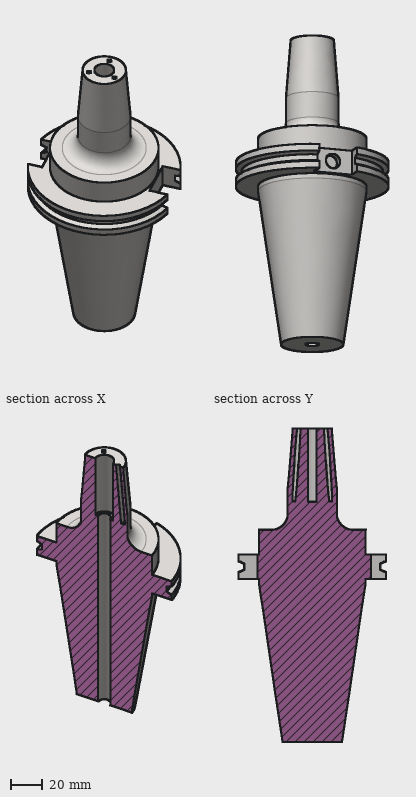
import cadquery as cq
import math

gauge_diameter = 69.85
taper_length = 101.6
taper_ratio = 7 / 24
small_end_diameter = gauge_diameter - taper_length * taper_ratio

flange_diameter = 98.43
flange_bottom = 3.175
flange_thickness = 15.875
flange_top = flange_bottom + flange_thickness
flange_middle = (flange_bottom + flange_top) / 2
groove_depth = 3.6
groove_mouth_width = 7.0
groove_floor_width = 3.8

collar_diameter = gauge_diameter
collar_top = 35.0
neck_diameter = 34.0
neck_fillet = 10.0
nose_top = 100.0
nose_diameter = 28.0
nose_half_angle = 4.5
nose_taper_length = (neck_diameter - nose_diameter) / 2 / math.tan(math.radians(nose_half_angle))
nose_taper_bottom = nose_top - nose_taper_length

slot_width = 25.9
slot_floor_left = 37.8
slot_floor_right = 35.3
dimple_diameter = 9.6
dimple_depth = 5.5

tool_bore_diameter = 12.7
tool_bore_depth = 47.0
through_bore_diameter = 8.5
coolant_hole_count = 3
coolant_hole_diameter = 2.5
coolant_circle_radius = 10.0
coolant_hole_depth = tool_bore_depth
first_coolant_angle = 90


def make_body():
    """Revolve the half outline of shank, grooved flange, collar and nose."""
    flange_radius = flange_diameter / 2
    groove_floor_radius = flange_radius - groove_depth
    neck_radius = neck_diameter / 2
    fillet_foot_radius = neck_radius + neck_fillet
    fillet_top = collar_top + neck_fillet
    fillet_inset = neck_fillet * (1 - math.sqrt(0.5))
    half_mouth = groove_mouth_width / 2
    half_floor = groove_floor_width / 2
    outline = (
        cq.Workplane("XZ")
        .moveTo(0, -taper_length)
        .lineTo(small_end_diameter / 2, -taper_length)
        .lineTo(gauge_diameter / 2, 0)
        .lineTo(gauge_diameter / 2, flange_bottom)
        .lineTo(flange_radius, flange_bottom)
        .lineTo(flange_radius, flange_middle - half_mouth)
        .lineTo(groove_floor_radius, flange_middle - half_floor)
        .lineTo(groove_floor_radius, flange_middle + half_floor)
        .lineTo(flange_radius, flange_middle + half_mouth)
        .lineTo(flange_radius, flange_top)
        .lineTo(collar_diameter / 2, flange_top)
        .lineTo(collar_diameter / 2, collar_top)
        .lineTo(fillet_foot_radius, collar_top)
        .threePointArc(
            (neck_radius + fillet_inset, collar_top + fillet_inset),
            (neck_radius, fillet_top),
        )
        .lineTo(neck_radius, nose_taper_bottom)
        .lineTo(nose_diameter / 2, nose_top)
        .lineTo(0, nose_top)
        .close()
    )
    return outline.revolve(360, (0, 0, 0), (0, 1, 0))


def make_drive_slot(floor_distance, side):
    """Slot through the flange height; side is -1 for -X and +1 for +X."""
    outward_length = flange_diameter / 2
    return (
        cq.Workplane("XY", origin=(0, 0, flange_bottom))
        .center(side * (floor_distance + outward_length / 2), 0)
        .rect(outward_length, slot_width)
        .extrude(flange_thickness)
    )


def make_dimple():
    """Round blind hole in the floor of the -X drive slot."""
    return (
        cq.Workplane("YZ", origin=(-slot_floor_left, 0, flange_middle))
        .circle(dimple_diameter / 2)
        .extrude(dimple_depth)
    )


def make_axial_bores():
    """Tool bore from the nose face and a smaller bore through the whole part."""
    through_bore = (
        cq.Workplane("XY", origin=(0, 0, -taper_length))
        .circle(through_bore_diameter / 2)
        .extrude(taper_length + nose_top)
    )
    tool_bore = (
        cq.Workplane("XY", origin=(0, 0, nose_top))
        .circle(tool_bore_diameter / 2)
        .extrude(-tool_bore_depth)
    )
    return through_bore.union(tool_bore)


def make_coolant_holes():
    """Ring of small blind holes in the nose face, each parallel to the nose taper."""
    tilt = math.radians(nose_half_angle)
    mouth = cq.Vector(coolant_circle_radius, 0, nose_top)
    downward = cq.Vector(math.sin(tilt), 0, -math.cos(tilt))
    start = mouth - downward * coolant_hole_diameter
    length = coolant_hole_depth + coolant_hole_diameter
    hole = cq.Workplane(
        cq.Solid.makeCylinder(coolant_hole_diameter / 2, length, start, downward)
    )
    holes = cq.Workplane("XY")
    for index in range(coolant_hole_count):
        angle = first_coolant_angle + index * 360 / coolant_hole_count
        holes = holes.add(hole.rotate((0, 0, 0), (0, 0, 1), angle))
    return holes.combine()


result = (
    make_body()
    .cut(make_drive_slot(slot_floor_left, -1))
    .cut(make_drive_slot(slot_floor_right, 1))
    .cut(make_dimple())
    .cut(make_axial_bores())
    .cut(make_coolant_holes())
)